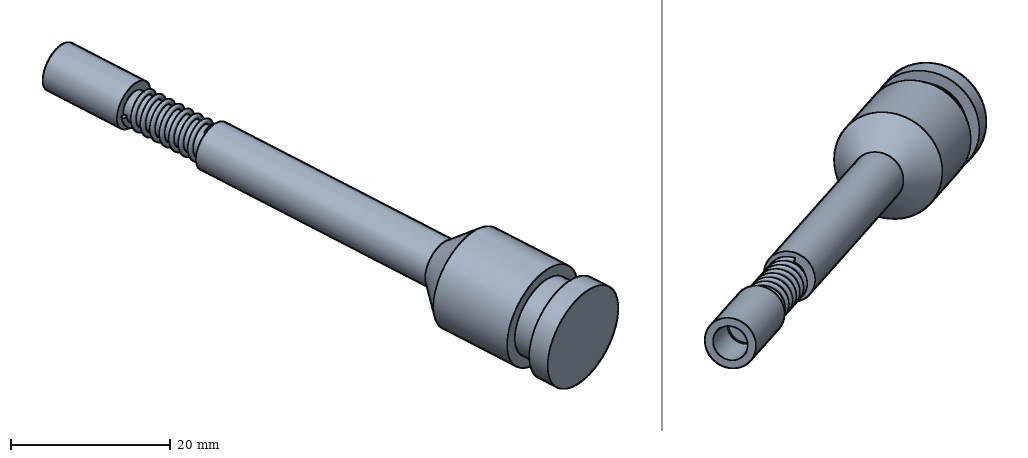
import cadquery as cq
import math


tip_length = 11.9
tip_radius = 3.4
tip_bore_radius = 2.3
tip_bore_depth = 6.0

pin_radius = 2.1
pin_insertion = tip_length - tip_bore_depth

shank_start = 24.6
shank_end = 61.3
shank_radius = tip_radius
barrel_start = 65.6
barrel_end = 77.4
barrel_radius = 14.3 / 2
flange_start = 81.0
housing_end = 83.9
neck_radius = 5.6

axis_drift = 5.1
tilt = math.degrees(math.asin(axis_drift / housing_end))

wire_radius = 0.3
wire_clearance = 0.04
coil_radius = pin_radius + wire_clearance + wire_radius
coil_pitch = 1.5
coil_turns = 7.8
end_clearance = 0.02
helix_turn = 90
spring_start = shank_start - end_clearance - wire_radius - coil_turns * coil_pitch


def rod(start, end, radius):
    """Cylinder along X between two stations."""
    return cq.Workplane("YZ", origin=(start, 0, 0)).circle(radius).extrude(end - start)


def place(body):
    """Turn a body from the X axis onto the tilted axis."""
    return body.rotate((0, 0, 0), (0, 0, 1), -tilt)


def make_pin():
    return rod(tip_bore_depth, shank_start + pin_insertion, pin_radius)


def make_tip(pin):
    sleeve = rod(0, tip_length, tip_radius)
    bore = rod(0, tip_bore_depth, tip_bore_radius)
    return sleeve.cut(bore).cut(pin)


def make_housing(pin):
    """Shank, cone, barrel, groove and end flange, with a blind hole for the pin."""
    profile = [
        (shank_start, 0),
        (shank_start, shank_radius),
        (shank_end, shank_radius),
        (barrel_start, barrel_radius),
        (barrel_end, barrel_radius),
        (barrel_end, neck_radius),
        (flange_start, neck_radius),
        (flange_start, barrel_radius),
        (housing_end, barrel_radius),
        (housing_end, 0),
    ]
    turned = cq.Workplane("XY").polyline(profile).close().revolve(360, (0, 0, 0), (1, 0, 0))
    return turned.cut(pin)


def make_spring():
    """Round wire swept along a helix that starts on the -Y side of the pin."""
    helix = cq.Wire.makeHelix(
        coil_pitch,
        coil_pitch * coil_turns,
        coil_radius,
        center=cq.Vector(spring_start, 0, 0),
        dir=cq.Vector(1, 0, 0),
    )
    start = helix.startPoint()
    section = cq.Plane(origin=start, xDir=(start - cq.Vector(spring_start, 0, 0)), normal=helix.tangentAt(0))
    coil = cq.Workplane(section).circle(wire_radius).sweep(cq.Workplane(helix), isFrenet=True)
    return coil.rotate((0, 0, 0), (1, 0, 0), helix_turn)


pin = make_pin()
tip = make_tip(pin)
housing = make_housing(pin)
spring = make_spring()

result = cq.Compound.makeCompound([place(body).val() for body in (tip, spring, pin, housing)])